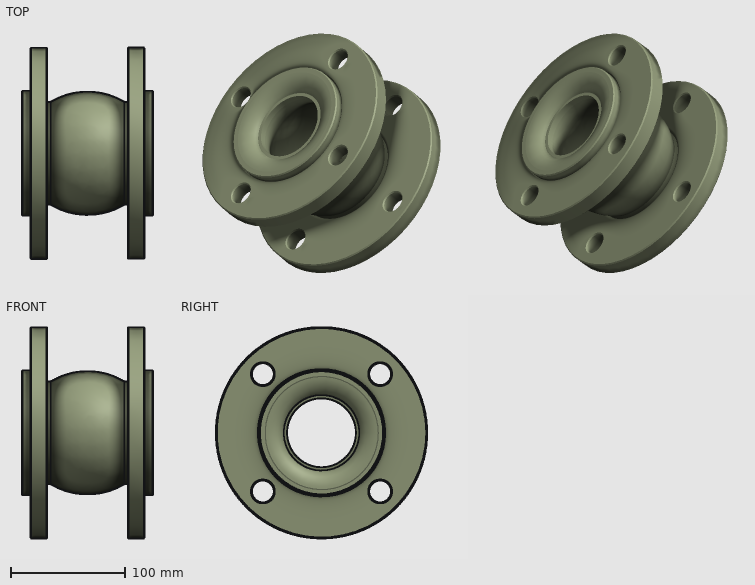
import cadquery as cq
import math


length = 115.0
edge_chamfer = 1.0

flange_diameter = 185.0
flange_thickness = 15.0
flange_outer_face = 50.0
flange_bore_fillet = 3.0
bolt_circle_diameter = 145.0
bolt_hole_diameter = 19.0
bolt_hole_count = 4

collar_diameter = 109.5
collar_seat_depth = 6.0
neck_diameter = 90.0
bulge_diameter = 108.0
bulge_end = 32.25
cavity_diameter = 88.06

bore_diameter = 60.0
bore_land = 6.0
bore_fillet = 26.5
mouth_step_diameter = 66.0
mouth_fillet = 21.7

half_length = length / 2
flange_inner_face = flange_outer_face - flange_thickness
collar_seat = flange_outer_face - collar_seat_depth
bore_end = flange_outer_face - bore_land

flange_radius = flange_diameter / 2
collar_radius = collar_diameter / 2
neck_radius = neck_diameter / 2
bulge_radius = bulge_diameter / 2
bore_radius = bore_diameter / 2
mouth_step_radius = mouth_step_diameter / 2
bolt_hole_radius = bolt_hole_diameter / 2

cavity_crown = cavity_diameter / 2
cavity_rise = cavity_crown - bore_radius
arc_radius_sum = (bore_end**2 + cavity_rise**2) / (2 * cavity_rise)
cavity_arc = arc_radius_sum - bore_fillet
cavity_arc_center = cavity_crown - cavity_arc
bore_fillet_center = bore_radius + bore_fillet
bore_fillet_angle = math.asin(bore_end / arc_radius_sum)

mouth_depth = half_length - flange_outer_face
mouth_angle = math.acos(1 - mouth_depth / mouth_fillet)
mouth_rim_radius = mouth_step_radius + mouth_fillet * math.sin(mouth_angle)


def arc_point(center_x, center_radius, arc_radius, angle, inward):
    """Point on an arc, with the angle measured from the radial direction."""
    side = -1 if inward else 1
    return (
        center_x + side * arc_radius * math.sin(angle),
        center_radius + side * arc_radius * math.cos(angle),
    )


def revolve_about_x(profile):
    return profile.close().revolve(360, (0, 0, 0), (1, 0, 0))


def mirrored(point):
    return (-point[0], point[1])


def make_bellows():
    bore_fillet_mid = arc_point(bore_end, bore_fillet_center, bore_fillet, bore_fillet_angle / 2, True)
    cavity_end = arc_point(0, cavity_arc_center, cavity_arc, bore_fillet_angle, False)
    mouth_mid = (
        half_length - mouth_fillet * (1 - math.cos(mouth_angle / 2)),
        mouth_rim_radius - mouth_fillet * math.sin(mouth_angle / 2),
    )
    mouth_end = (flange_outer_face, mouth_step_radius)

    profile = (
        cq.Workplane("XY")
        .moveTo(-bulge_end, neck_radius)
        .threePointArc((0, bulge_radius), (bulge_end, neck_radius))
        .lineTo(collar_seat, neck_radius)
        .lineTo(collar_seat, collar_radius)
        .lineTo(half_length - edge_chamfer, collar_radius)
        .lineTo(half_length, collar_radius - edge_chamfer)
        .lineTo(half_length, mouth_rim_radius)
        .threePointArc(mouth_mid, mouth_end)
        .lineTo(flange_outer_face, bore_radius)
        .lineTo(bore_end, bore_radius)
        .threePointArc(bore_fillet_mid, cavity_end)
        .threePointArc((0, cavity_crown), mirrored(cavity_end))
        .threePointArc(mirrored(bore_fillet_mid), (-bore_end, bore_radius))
        .lineTo(-flange_outer_face, bore_radius)
        .lineTo(-flange_outer_face, mouth_step_radius)
        .threePointArc(mirrored(mouth_mid), (-half_length, mouth_rim_radius))
        .lineTo(-half_length, collar_radius - edge_chamfer)
        .lineTo(-half_length + edge_chamfer, collar_radius)
        .lineTo(-collar_seat, collar_radius)
        .lineTo(-collar_seat, neck_radius)
    )
    return revolve_about_x(profile)


def make_bolt_hole_cutter():
    """Bolt hole on the axis, widened by a chamfer at both flange faces."""
    mouth_radius = bolt_hole_radius + edge_chamfer
    profile = (
        cq.Workplane("XY")
        .moveTo(flange_inner_face, 0)
        .lineTo(flange_inner_face, mouth_radius)
        .lineTo(flange_inner_face + edge_chamfer, bolt_hole_radius)
        .lineTo(flange_outer_face - edge_chamfer, bolt_hole_radius)
        .lineTo(flange_outer_face, mouth_radius)
        .lineTo(flange_outer_face, 0)
    )
    return revolve_about_x(profile)


def make_flange():
    """Flange at the +X end, with a seat for the collar and chamfered edges."""
    fillet_mid = (
        flange_inner_face + flange_bore_fillet * (1 - math.sin(math.pi / 4)),
        neck_radius + flange_bore_fillet * (1 - math.cos(math.pi / 4)),
    )
    profile = (
        cq.Workplane("XY")
        .moveTo(flange_inner_face, neck_radius + flange_bore_fillet)
        .threePointArc(fillet_mid, (flange_inner_face + flange_bore_fillet, neck_radius))
        .lineTo(collar_seat, neck_radius)
        .lineTo(collar_seat, collar_radius)
        .lineTo(flange_outer_face - edge_chamfer, collar_radius)
        .lineTo(flange_outer_face, collar_radius + edge_chamfer)
        .lineTo(flange_outer_face, flange_radius - edge_chamfer)
        .lineTo(flange_outer_face - edge_chamfer, flange_radius)
        .lineTo(flange_inner_face + edge_chamfer, flange_radius)
        .lineTo(flange_inner_face, flange_radius - edge_chamfer)
    )
    flange = revolve_about_x(profile)

    hole_cutter = make_bolt_hole_cutter().translate((0, bolt_circle_diameter / 2, 0))
    hole_pitch = 360 / bolt_hole_count
    for index in range(bolt_hole_count):
        hole_angle = hole_pitch * (index + 0.5)
        flange = flange.cut(hole_cutter.rotate((0, 0, 0), (1, 0, 0), hole_angle))
    return flange


bellows = make_bellows()
flanges = [make_flange().rotate((0, 0, 0), (0, 0, 1), turn) for turn in (0, 180)]

result = cq.Compound.makeCompound([bellows.val(), *[flange.val() for flange in flanges]])